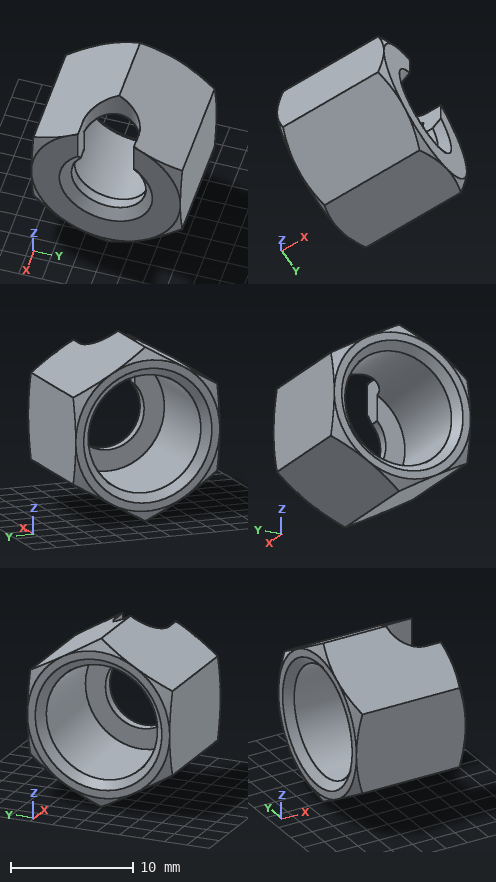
import cadquery as cq
import math

LENGTH = 10.31
HEX_SIDES = 6
ACROSS_FLATS = 12.7
ACROSS_CORNERS = ACROSS_FLATS / math.cos(math.pi / HEX_SIDES)
CORNER_CHAMFER_ANGLE = 30.0

BORE_DIAMETER = 9.92
BORE_CHAMFER = 0.69
END_WALL = 1.71

HOLE_DIAMETER = 6.35
COUNTERSINK_DEPTH = 0.79
COUNTERSINK_DIAMETER = HOLE_DIAMETER + 2 * COUNTERSINK_DEPTH

SLOT_WIDTH = 4.76
SLOT_LENGTH = 3.81


def revolve_about_x(profile):
    """Solid of revolution about the X axis from (x, radius) points."""
    return cq.Workplane("XY").polyline(profile).close().revolve(360, (0, 0, 0), (1, 0, 0))


def make_body():
    """Hexagonal bar with its corners turned to a cone at both ends."""
    hexagon = cq.Workplane("YZ").polygon(HEX_SIDES, ACROSS_CORNERS).extrude(LENGTH)
    bar = hexagon.rotate((0, 0, 0), (1, 0, 0), 90)
    flat_radius = ACROSS_FLATS / 2
    corner_radius = ACROSS_CORNERS / 2
    cone_length = (corner_radius - flat_radius) * math.tan(math.radians(CORNER_CHAMFER_ANGLE))
    envelope = revolve_about_x([
        (0, 0),
        (0, flat_radius),
        (cone_length, corner_radius),
        (LENGTH - cone_length, corner_radius),
        (LENGTH, flat_radius),
        (LENGTH, 0),
    ])
    return bar.intersect(envelope)


def make_bore():
    """Chamfered main bore, end-wall hole and countersink as one stepped cutter."""
    bore_radius = BORE_DIAMETER / 2
    hole_radius = HOLE_DIAMETER / 2
    bore_end = LENGTH - END_WALL
    return revolve_about_x([
        (0, 0),
        (0, bore_radius + BORE_CHAMFER),
        (BORE_CHAMFER, bore_radius),
        (bore_end, bore_radius),
        (bore_end, hole_radius),
        (LENGTH - COUNTERSINK_DEPTH, hole_radius),
        (LENGTH, COUNTERSINK_DIAMETER / 2),
        (LENGTH, 0),
    ])


def make_slot():
    """Vertical round-ended cutter reaching from the axis out through the top."""
    arc_radius = SLOT_WIDTH / 2
    arc_start = LENGTH - SLOT_LENGTH + arc_radius
    return (
        cq.Workplane("XY")
        .moveTo(LENGTH, -arc_radius)
        .lineTo(arc_start, -arc_radius)
        .threePointArc((arc_start - arc_radius, 0), (arc_start, arc_radius))
        .lineTo(LENGTH, arc_radius)
        .close()
        .extrude(ACROSS_CORNERS / 2)
    )


result = make_body().cut(make_bore()).cut(make_slot())